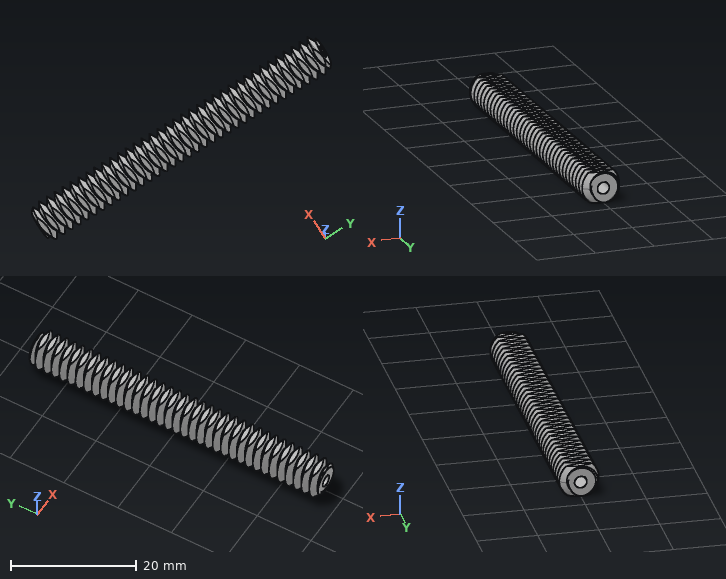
import cadquery as cq
import math

length = 53.75
major_diameter = 6.6
across_flats = 5.0
bore_diameter = 2.0
turns_along_length = 35.84
thread_angle = 60.0
end_diameter = 4.95
chamfer_angle = 45.0

pitch = length / turns_along_length
major_radius = major_diameter / 2
thread_depth = pitch / 2 / math.tan(math.radians(thread_angle / 2))
root_radius = major_radius - thread_depth

core_radius = bore_diameter / 4
overrun_turns = 2
turns = math.ceil(turns_along_length) + 2 * overrun_turns

half_length = length / 2
crest_clearance = 0.25
envelope_radius = major_radius + crest_clearance
chamfer_depth = envelope_radius - end_diameter / 2
chamfer_length = chamfer_depth / math.tan(math.radians(chamfer_angle))

lower_bore = (core_radius, 0)
lower_root = (root_radius, 0)
crest = (major_radius, pitch / 2)
upper_root = (root_radius, pitch)
upper_bore = (core_radius, pitch)
profile = [lower_bore, lower_root, crest, upper_root, upper_bore]


def helix_turn(corner):
    """One right-hand turn traced by a profile corner."""
    radius, height = corner
    helix = cq.Wire.makeHelix(pitch, pitch, radius)
    return helix.translate(cq.Vector(0, 0, height)).Edges()[0]


def helical_face(start, end):
    """One turn of the surface traced by the profile side between two corners."""
    return cq.Face.makeRuledSurface(helix_turn(start), helix_turn(end))


def end_faces():
    """Faces closing the start of the rod: one helicoid turn and the flat step that it leaves."""
    corners = [cq.Vector(radius, 0, height) for radius, height in profile]
    step = cq.Face.makeFromWires(cq.Wire.makePolygon(corners, close=True))
    return [helical_face(lower_bore, lower_root), step]


def threaded_rod():
    """Overlong single-start right-hand thread, rising from Z = 0 with its first root at +X."""
    turn_faces = [
        helical_face(lower_root, crest),
        helical_face(crest, upper_root),
        helical_face(upper_bore, lower_bore),
    ]
    faces = []
    for turn in range(turns):
        rise = cq.Vector(0, 0, turn * pitch)
        faces += [face.translate(rise) for face in turn_faces]
    for rise in (cq.Vector(0, 0, 0), cq.Vector(0, 0, turns * pitch)):
        faces += [face.translate(rise) for face in end_faces()]
    return cq.Workplane(cq.Solid.makeSolid(cq.Shell.makeShell(faces)))


def cylinder_along_y(radius):
    """Cylinder as long as the part, centred on the origin."""
    return cq.Workplane("XZ").circle(radius).extrude(half_length, both=True)


def envelope():
    """Bar with tapered ends, two parallel flats and a through bore."""
    bar = cylinder_along_y(envelope_radius)
    bar = bar.faces("<Y or >Y").chamfer(chamfer_length, chamfer_depth)
    flats = cq.Workplane("XY").box(2 * envelope_radius, length, across_flats)
    return bar.intersect(flats).cut(cylinder_along_y(bore_diameter / 2))


start_turn_fraction = 0.25
rod_start = -half_length - (overrun_turns + start_turn_fraction) * pitch
rod = threaded_rod().rotate((0, 0, 0), (1, 0, 0), -90).translate((0, rod_start, 0))

result = rod.intersect(envelope())